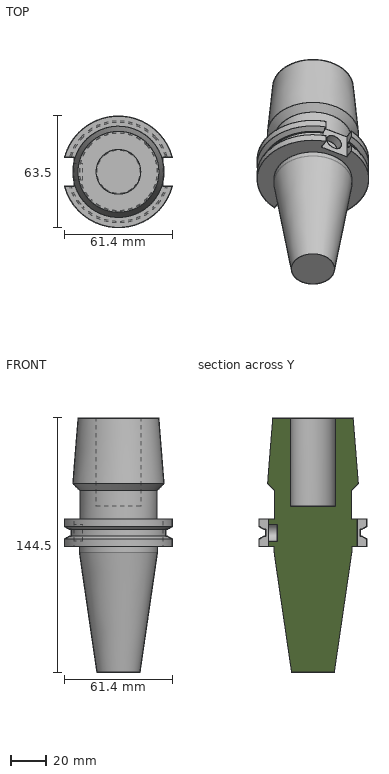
import cadquery as cq
import math

gauge_diameter = 44.45
shank_length = 68.25
taper_per_length = 7 / 24
shank_end_diameter = gauge_diameter - shank_length * taper_per_length

flange_diameter = 63.5
flange_bottom = 3.18
flange_top = 19.05
groove_root_diameter = 56.3
groove_flank_inner_diameter = 58.0
groove_opening = 7.0
groove_flank_angle = 30.0
groove_middle = (flange_bottom + flange_top) / 2
flank_depth = (flange_diameter - groove_flank_inner_diameter) / 2
flank_height = flank_depth * math.tan(math.radians(groove_flank_angle))
groove_root_height = groove_opening - 2 * flank_height

neck_diameter = 44.0
neck_top = 35.2
head_base_diameter = 51.9
head_base = 39.1
head_top_diameter = 46.0
head_top = 76.2

bore_diameter = 25.4
bore_depth = 50.0

slot_width = 16.38
slot_floor_offset = 25.3

floor_hole_diameter = 9.4
floor_hole_depth = 5.0


def make_turned_body():
    """Revolve the half section of the whole holder about Z."""
    section = [
        (0, -shank_length),
        (shank_end_diameter / 2, -shank_length),
        (gauge_diameter / 2, 0),
        (gauge_diameter / 2, flange_bottom),
        (flange_diameter / 2, flange_bottom),
        (flange_diameter / 2, groove_middle - groove_opening / 2),
        (groove_flank_inner_diameter / 2, groove_middle - groove_root_height / 2),
        (groove_root_diameter / 2, groove_middle - groove_root_height / 2),
        (groove_root_diameter / 2, groove_middle + groove_root_height / 2),
        (groove_flank_inner_diameter / 2, groove_middle + groove_root_height / 2),
        (flange_diameter / 2, groove_middle + groove_opening / 2),
        (flange_diameter / 2, flange_top),
        (neck_diameter / 2, flange_top),
        (neck_diameter / 2, neck_top),
        (head_base_diameter / 2, head_base),
        (head_top_diameter / 2, head_top),
        (0, head_top),
    ]
    return cq.Workplane("XZ").polyline(section).close().revolve(360, (0, 0), (0, 1))


def make_bore():
    """Blind tool bore entering from the top of the head."""
    bore_bottom = cq.Workplane("XY").workplane(offset=head_top - bore_depth)
    return bore_bottom.circle(bore_diameter / 2).extrude(bore_depth)


def make_drive_slot(side):
    """Block that cuts one drive slot; side is -1 for -X and +1 for +X."""
    slot_depth = flange_diameter / 2 - slot_floor_offset
    slot_center_x = side * (slot_floor_offset + slot_depth / 2)
    block = cq.Workplane("XY").box(slot_depth, slot_width, flange_top - flange_bottom)
    return block.translate((slot_center_x, 0, groove_middle))


def make_floor_hole():
    """Blind hole running in +X from the floor of the -X slot."""
    slot_floor = cq.Workplane("YZ", origin=(-slot_floor_offset, 0, groove_middle))
    return slot_floor.circle(floor_hole_diameter / 2).extrude(floor_hole_depth)


result = make_turned_body().cut(make_bore())
for side in (-1, 1):
    result = result.cut(make_drive_slot(side))
result = result.cut(make_floor_hole())